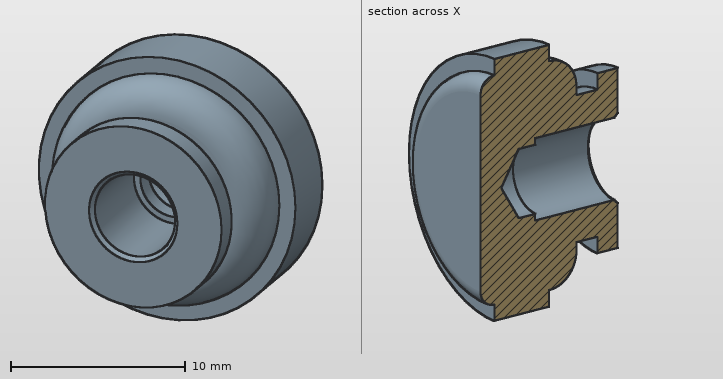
import cadquery as cq
import math

flange_length = 1.5
neck_length = 1.49
body_front_length = 2.0
rim_length = 4.0
body_back_length = 1.0

flange_diameter = 11.0
neck_diameter = 9.0
body_diameter = 14.0
rim_diameter = 16.0

front_round = body_front_length
back_round = body_back_length

bore_diameter = 5.0
bore_depth = 6.0
mouth_chamfer = 0.25
drill_diameter = 4.2
drill_depth = 7.2
drill_tip_angle = 118.0

neck_start = flange_length
body_start = neck_start + neck_length
rim_start = body_start + body_front_length
rim_end = rim_start + rim_length
back_face = rim_end + body_back_length


def cylinder(diameter, start, end):
    """Solid cylinder about the Y axis between two Y positions."""
    plane = cq.Workplane("XZ").workplane(offset=-start)
    return plane.circle(diameter / 2).extrude(start - end)


def rounded_body():
    body = cylinder(body_diameter, body_start, back_face)
    body = body.faces("<Y").edges().fillet(front_round)
    return body.faces(">Y").edges().fillet(back_round)


def blind_hole():
    """Revolved cutter, including the conical drill tip."""
    bore_radius = bore_diameter / 2
    drill_radius = drill_diameter / 2
    tip_length = drill_radius / math.tan(math.radians(drill_tip_angle / 2))
    half_section = (
        cq.Workplane("XY")
        .moveTo(0, 0)
        .lineTo(bore_radius + mouth_chamfer, 0)
        .lineTo(bore_radius, mouth_chamfer)
        .lineTo(bore_radius, bore_depth)
        .lineTo(drill_radius, bore_depth)
        .lineTo(drill_radius, drill_depth)
        .lineTo(0, drill_depth + tip_length)
        .close()
    )
    return half_section.revolve(360, (0, 0, 0), (0, 1, 0))


flange = cylinder(flange_diameter, 0, neck_start)
neck = cylinder(neck_diameter, neck_start, body_start)
rim = cylinder(rim_diameter, rim_start, rim_end)

result = rounded_body().union(rim).union(neck).union(flange).cut(blind_hole())